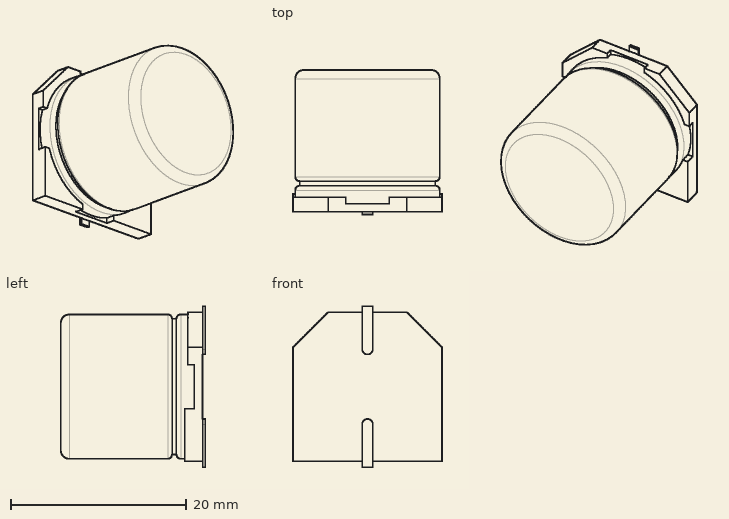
import cadquery as cq
import math


total_length = 16.5

base_size = 17.0
base_chamfer = 4.0
floor_thickness = 0.95
upper_post_height = 1.7
lower_post_height = 2.05
notch_width = 5.0

terminal_thickness = 0.3
terminal_width = 1.2
terminal_span = 18.4
terminal_gap = 7.35

can_radius = 8.25
can_end_fillet = 1.0
groove_depth = 0.5
groove_width = 0.5
groove_start = 3.0

half_base = base_size / 2
can_end = total_length - terminal_thickness


def extrude_along_y(start):
    """Workplane at Y = start whose local axes are X and Z; positive extrusion runs toward -Y."""
    return cq.Workplane("XZ", origin=(0, start, 0))


def make_base():
    """Square floor with raised corner posts, split by a cross of notches."""
    base = extrude_along_y(floor_thickness).rect(base_size, base_size).extrude(floor_thickness)
    post_size = (base_size - notch_width) / 2
    post_offset = (base_size + notch_width) / 4
    for side_x in (-1, 1):
        for side_z, height in ((1, upper_post_height), (-1, lower_post_height)):
            post = (
                extrude_along_y(height)
                .center(side_x * post_offset, side_z * post_offset)
                .rect(post_size, post_size)
                .extrude(height)
            )
            base = base.union(post)
    for side_x in (-1, 1):
        corner = (
            extrude_along_y(lower_post_height)
            .moveTo(side_x * half_base, half_base)
            .lineTo(side_x * (half_base - base_chamfer), half_base)
            .lineTo(side_x * half_base, half_base - base_chamfer)
            .close()
            .extrude(lower_post_height)
        )
        base = base.cut(corner)
    return base


def make_can():
    """Revolved can with a rounded closed end and a crimp groove near the base."""
    groove_end = groove_start + groove_width
    groove_radius = can_radius - groove_depth
    diagonal = math.sqrt(0.5)
    shoulder_mid_radius = groove_radius + groove_depth * diagonal
    shoulder_mid_drop = groove_depth * (1 - diagonal)
    end_mid_inset = can_end_fillet * (1 - diagonal)
    half_section = cq.Plane(origin=(0, 0, 0), xDir=(0, 0, 1), normal=(-1, 0, 0))
    profile = (
        cq.Workplane(half_section)
        .moveTo(0, floor_thickness)
        .lineTo(can_radius, floor_thickness)
        .lineTo(can_radius, groove_start - groove_depth)
        .threePointArc((shoulder_mid_radius, groove_start - shoulder_mid_drop), (groove_radius, groove_start))
        .lineTo(groove_radius, groove_end)
        .threePointArc(
            (shoulder_mid_radius, groove_end + shoulder_mid_drop), (can_radius, groove_end + groove_depth)
        )
        .lineTo(can_radius, can_end - can_end_fillet)
        .threePointArc(
            (can_radius - end_mid_inset, can_end - end_mid_inset), (can_radius - can_end_fillet, can_end)
        )
        .lineTo(0, can_end)
        .close()
    )
    return profile.revolve(360, (0, 0, 0), (0, 1, 0))


def make_terminal(side_z):
    """Flat strip with a rounded inner end, overhanging the base edge on the given Z side."""
    half_width = terminal_width / 2
    outer_z = side_z * terminal_span / 2
    tip_z = side_z * terminal_gap / 2
    round_start_z = tip_z + side_z * half_width
    return (
        extrude_along_y(0)
        .moveTo(-half_width, outer_z)
        .lineTo(-half_width, round_start_z)
        .threePointArc((0, tip_z), (half_width, round_start_z))
        .lineTo(half_width, outer_z)
        .close()
        .extrude(terminal_thickness)
    )


result = make_base().union(make_can())
for terminal_side in (-1, 1):
    result = result.union(make_terminal(terminal_side))